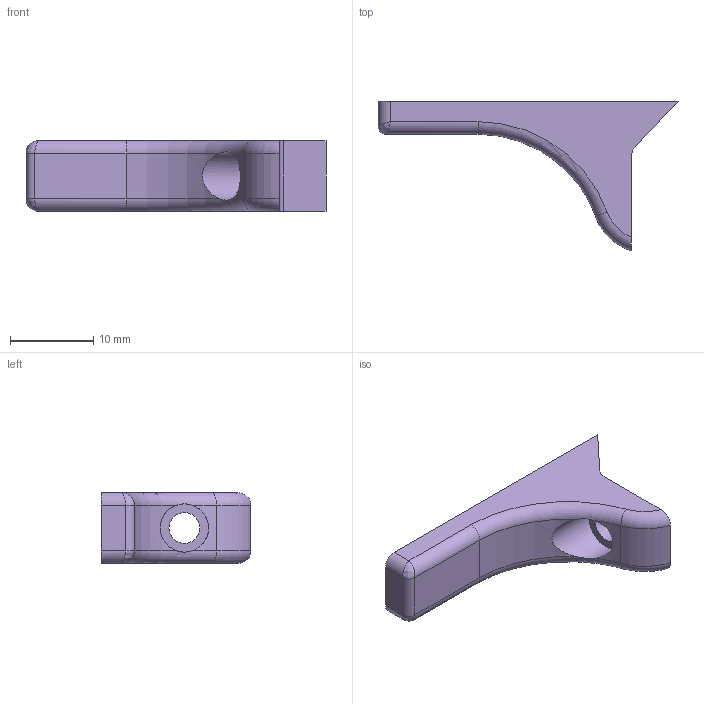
import cadquery as cq
import math

length = 36.0
depth = 17.98
thickness = 8.5

finger_thickness = 3.98
finger_straight_length = 12.0
hollow_radius = 15.0
hollow_end_angle = 20.0
mount_face_x = 30.4
beak_angle = 47.0

finger_corner_radius = 1.0
beak_root_radius = 1.8
rim_radius = 1.5

screw_diameter = 3.7
head_diameter = 5.8
screw_y = -10.0
head_seat_x = 27.4


def hollow_point(angle_degrees):
    """Point on the concave curve at an angle measured from +X about its centre."""
    angle = math.radians(angle_degrees)
    center_y = -finger_thickness - hollow_radius
    return (
        finger_straight_length + hollow_radius * math.cos(angle),
        center_y + hollow_radius * math.sin(angle),
    )


def make_body():
    """Extruded outline, centred on Z = 0, with its two vertical corners rounded."""
    beak_root_y = -(length - mount_face_x) * math.tan(math.radians(beak_angle))
    body = (
        cq.Workplane("XY")
        .workplane(offset=-thickness / 2)
        .moveTo(0, 0)
        .lineTo(0, -finger_thickness)
        .lineTo(finger_straight_length, -finger_thickness)
        .threePointArc(hollow_point((90 + hollow_end_angle) / 2), hollow_point(hollow_end_angle))
        .tangentArcPoint((mount_face_x, -depth), relative=False)
        .lineTo(mount_face_x, beak_root_y)
        .lineTo(length, 0)
        .close()
        .extrude(thickness)
    )
    finger_corner = cq.selectors.NearestToPointSelector((0, -finger_thickness, 0))
    beak_root = cq.selectors.NearestToPointSelector((mount_face_x, beak_root_y, 0))
    body = body.edges(finger_corner).fillet(finger_corner_radius)
    return body.edges(beak_root).fillet(beak_root_radius)


def round_rims(body):
    """Round the upper and lower rims along the finger end and the curved front."""
    for height in (-thickness / 2, thickness / 2):
        finger_end_rim = cq.selectors.NearestToPointSelector((0, -finger_thickness / 2, height))
        body = body.edges(finger_end_rim).fillet(rim_radius)
    return body


def cut_screw_hole(body):
    """Screw hole through the toe with a deep head counterbore opening onto the concave curve."""
    axis_start = cq.Workplane("YZ").center(screw_y, 0)
    clearance = axis_start.circle(screw_diameter / 2).extrude(length)
    head_bore = axis_start.circle(head_diameter / 2).extrude(head_seat_x)
    return body.cut(clearance).cut(head_bore)


result = cut_screw_hole(round_rims(make_body()))